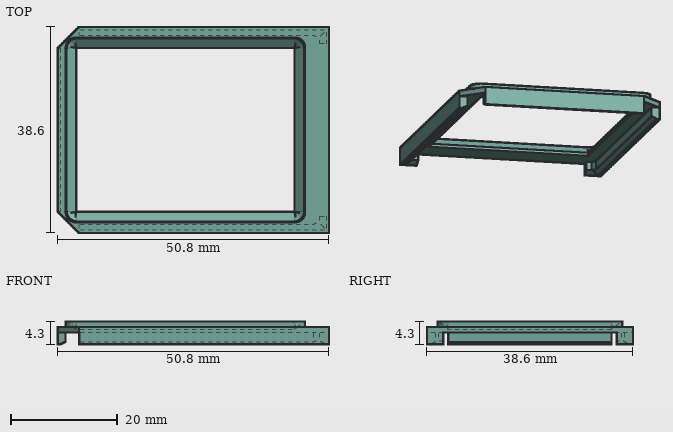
import cadquery as cq

length = 50.8
width = 38.6
skirt_height = 2.2
plate_thickness = 1.1
lip_height = 1.0
corner_cut = 4.0
plate_top = skirt_height + plate_thickness
total_height = plate_top + lip_height

lip_margin_left = 1.5
lip_margin_right = 4.5
lip_margin_side = 2.0
lip_radius = 2.0
lip_wall = 0.2
lip_length = length - lip_margin_left - lip_margin_right
lip_width = width - 2 * lip_margin_side
lip_center_x = lip_margin_left + lip_length / 2

window_length = lip_length - 2 * lip_radius
window_width = lip_width - 2 * lip_radius
window_land = 0.6
flare_start = skirt_height + window_land
flare_height = total_height - flare_start
flare_run = lip_radius - lip_wall

end_wall = 1.5
side_wall = 1.6
end_tab_wall = 1.8
end_tab_reach = 3.1
gusset_reach = 0.6
gusset_length = 1.15
lead_in_run = 1.0
lead_in_slope = 0.5

cavity_length = length - end_wall - end_tab_wall
cavity_width = width - 2 * side_wall


def centered_box(size_x, size_y, size_z, center_x, base_z):
    """Box centred on Y, placed by its X centre and its base height."""
    box = cq.Workplane("XY").box(size_x, size_y, size_z, centered=(True, True, False))
    return box.translate((center_x, 0, base_z))


def make_body():
    """Solid block with the two left corners of the outline cut at 45 degrees, plus the lip."""
    block = centered_box(length, width, plate_top, length / 2, 0)
    block = block.edges("|Z and <X").chamfer(corner_cut)
    lip = centered_box(lip_length, lip_width, lip_height, lip_center_x, plate_top)
    return block.union(lip.edges("|Z").fillet(lip_radius))


def make_window():
    """Straight opening with a flare of four sloped sides joined by corner cones."""
    window = centered_box(window_length, window_width, total_height, lip_center_x, 0)
    half_x = window_length / 2
    half_y = window_width / 2
    for plane, half_span, depth in (("XZ", half_x, half_y), ("YZ", half_y, half_x)):
        flare = (
            cq.Workplane(plane)
            .moveTo(-half_span, flare_start)
            .lineTo(half_span, flare_start)
            .lineTo(half_span + flare_run, total_height)
            .lineTo(-half_span - flare_run, total_height)
            .close()
            .extrude(depth, both=True)
        )
        window = window.union(flare.translate((lip_center_x, 0, 0)))
    upward = cq.Vector(0, 0, 1)
    quarter_turn = 90
    quarter_cone = cq.Solid.makeCone(0, flare_run, flare_height, angleDegrees=quarter_turn)
    for turn, (sign_x, sign_y) in enumerate(((1, 1), (-1, 1), (-1, -1), (1, -1))):
        corner = cq.Vector(lip_center_x + sign_x * half_x, sign_y * half_y, flare_start)
        cone = quarter_cone.rotate(cq.Vector(), upward, turn * quarter_turn).translate(corner)
        window = window.union(cq.Workplane(cone))
    return window


def make_gusset(side):
    """Slim wedge that thickens a side wall where it meets the end tab."""
    root_x = length - end_tab_wall
    root_y = side * cavity_width / 2
    outline = [
        (root_x - gusset_length, root_y),
        (root_x, root_y),
        (root_x, root_y - side * gusset_reach),
    ]
    return cq.Workplane("XY").polyline(outline).close().extrude(skirt_height)


def make_lead_in():
    """Shallow pyramid that bevels the inner lower edge of every skirt wall."""
    base_length = length - 2 * (end_wall - lead_in_run)
    base_width = cavity_width + 2 * lead_in_run
    run = skirt_height / lead_in_slope
    return (
        cq.Workplane("XY")
        .center(length / 2, 0)
        .rect(base_length, base_width)
        .workplane(offset=skirt_height)
        .rect(base_length - 2 * run, base_width - 2 * run)
        .loft()
    )


def make_cavity():
    """Space inside the skirt, with the open right end and the two open left corners."""
    cavity = centered_box(cavity_length, cavity_width, skirt_height, end_wall + cavity_length / 2, 0)
    for side in (-1, 1):
        cavity = cavity.cut(make_gusset(side))
        corner = cq.Workplane("XY").box(corner_cut, corner_cut, skirt_height, centered=False)
        corner_y = width / 2 - corner_cut if side > 0 else -width / 2
        cavity = cavity.union(corner.translate((0, corner_y, 0)))
    opening_width = width - 2 * end_tab_reach
    opening_center_x = length - end_tab_wall / 2
    end_opening = centered_box(end_tab_wall, opening_width, skirt_height, opening_center_x, 0)
    return cavity.union(end_opening).union(make_lead_in())


result = make_body().cut(make_cavity()).cut(make_window())